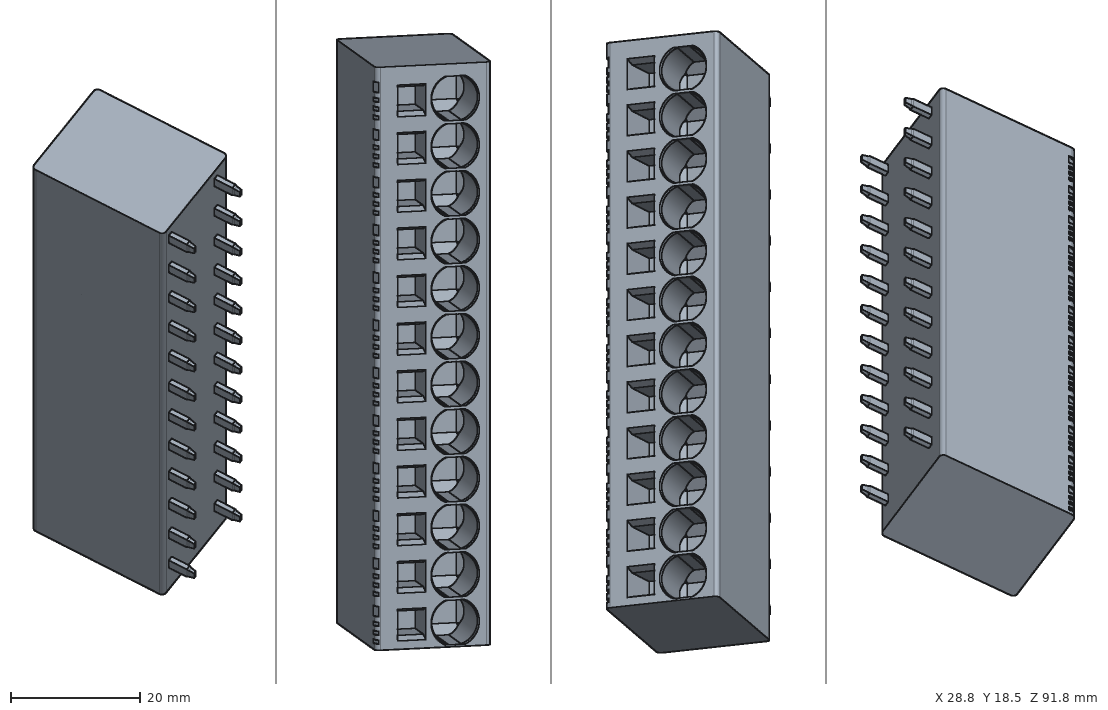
import cadquery as cq
import math

total_length = 28.75
body_length = 24.2
body_width = 18.5
body_height = 91.8
edge_radius = 0.75

pole_count = 12
pole_pitch = 7.5
first_entry_z = 3.85
first_pin_z = 6.5

entry_y = -3.5
entry_radius = 3.85
entry_half_height = 3.5
entry_rim_width = 0.2
entry_rim_depth = 0.4
throat_width = 5.4
throat_height = 3.9
entry_straight_depth = 8.0
funnel_slope = 45.0

pocket_right_y = 1.2
pocket_width = 4.5
pocket_height = 5.0
pocket_neck_depth = 1.55
pocket_neck_height = 3.85
pocket_depth = 6.5
pocket_floor_width = 3.2

pin_rows_y = (5.8, -7.3)
pin_thickness = 0.85
pin_width = 1.9
pin_shoulder_length = 0.3
pin_neck_thickness = 0.7
pin_neck_width = 1.6
pin_tip_length = 0.95
pin_tip_thickness = 0.5
pin_tip_width = 1.2
pin_embed = 0.5

notches = ((2.25, 1.6), (0.25, 0.6), (-1.15, 0.6), (-2.55, 0.6))
notch_drop = 0.55
notch_run = 1.3


def pole_levels(first_z):
    return [first_z + index * pole_pitch for index in range(pole_count)]


def front_plane(depth, y, z):
    """Plane at a depth behind the front face; local x runs along -Y, local y along Z."""
    return cq.Plane(origin=(depth, y, z), xDir=(0, -1, 0), normal=(-1, 0, 0))


def make_body():
    body = cq.Workplane("XY").box(body_length, body_width, body_height, centered=(False, True, False))
    return body.edges("|Z").fillet(edge_radius)


def mouth_wire(depth, z, radius):
    """Circle cut flat at the top and bottom."""
    half_flat = math.sqrt(radius**2 - entry_half_height**2)
    return (
        cq.Workplane(front_plane(depth, entry_y, z))
        .moveTo(-half_flat, entry_half_height)
        .lineTo(half_flat, entry_half_height)
        .threePointArc((radius, 0), (half_flat, -entry_half_height))
        .lineTo(-half_flat, -entry_half_height)
        .threePointArc((-radius, 0), (-half_flat, entry_half_height))
        .close()
        .val()
    )


def rectangle_wire(depth, y, z, width, height):
    return cq.Workplane(front_plane(depth, y, z)).rect(width, height).wires().val()


def make_wire_entry(z):
    inner_mouth = mouth_wire(entry_rim_depth, z, entry_radius - entry_rim_width)
    rim = cq.Solid.makeLoft([mouth_wire(0, z, entry_radius), inner_mouth], True)
    funnel_depth = (entry_half_height - throat_height / 2) / math.tan(math.radians(funnel_slope))
    entry_depth = entry_straight_depth + funnel_depth
    bore_length = entry_depth - entry_rim_depth
    bore = cq.Solid.extrudeLinear(inner_mouth, [], cq.Vector(bore_length, 0, 0))
    envelope = (
        cq.Workplane(front_plane(entry_depth, entry_y, z))
        .rect(throat_width, throat_height)
        .extrude(entry_depth, taper=-funnel_slope)
    )
    return rim.fuse(bore.intersect(envelope.val()))


def make_release_pocket(z):
    def section(depth, height):
        width = pocket_width - (pocket_width - pocket_floor_width) * depth / pocket_depth
        return rectangle_wire(depth, pocket_right_y + width / 2, z, width, height)

    mouth = section(0, pocket_height)
    neck = section(pocket_neck_depth, pocket_neck_height)
    floor = section(pocket_depth, pocket_neck_height)
    flare = cq.Solid.makeLoft([mouth, neck], True)
    return flare.fuse(cq.Solid.makeLoft([neck, floor], True)).clean()


def make_pin(y, z):
    neck_x = total_length - pin_tip_length
    shoulder_x = neck_x - pin_shoulder_length
    root_x = body_length - pin_embed
    shank = (
        cq.Workplane("XY")
        .box(shoulder_x - root_x, pin_thickness, pin_width, centered=(False, True, True))
        .translate((root_x, y, z))
    )
    shoulder = rectangle_wire(shoulder_x, y, z, pin_thickness, pin_width)
    neck = rectangle_wire(neck_x, y, z, pin_neck_thickness, pin_neck_width)
    tip = rectangle_wire(total_length, y, z, pin_tip_thickness, pin_tip_width)
    return shank.val().fuse(
        cq.Solid.makeLoft([shoulder, neck], True),
        cq.Solid.makeLoft([neck, tip], True),
    )


def make_notch(z, height):
    """Wedge that bevels the rounded front edge of the +Y side."""
    side_y = body_width / 2
    return (
        cq.Workplane("XY", origin=(0, 0, z - height / 2))
        .polyline([(0, side_y - notch_drop), (notch_run, side_y), (0, side_y)])
        .close()
        .extrude(height)
        .val()
    )


entry_levels = pole_levels(first_entry_z)
cutters = []
for level in entry_levels:
    cutters.append(make_wire_entry(level))
    cutters.append(make_release_pocket(level))
    for offset, height in notches:
        cutters.append(make_notch(level + offset, height))

pins = [make_pin(row_y, level) for row_y in pin_rows_y for level in pole_levels(first_pin_z)]

result = cq.Workplane("XY").newObject([make_body().val().cut(*cutters).fuse(*pins)])